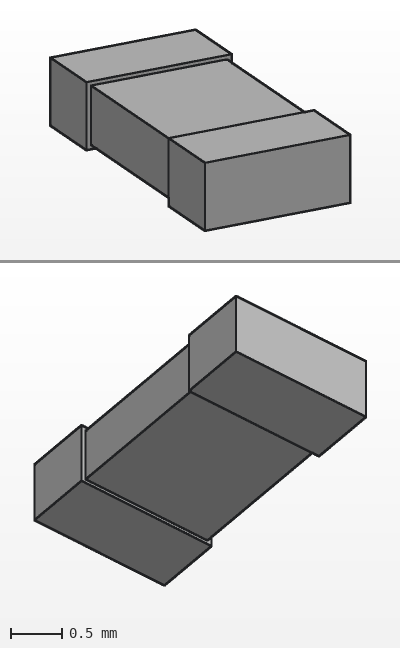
import cadquery as cq

length = 3.2
width = 1.6
height = 0.71

terminal_length = 0.75
side_inset = 0.05
top_bottom_inset = 0.045

body_length = length - 2 * terminal_length
body_width = width - 2 * side_inset
body_height = height - 2 * top_bottom_inset


def make_body():
    """Plain block that meets the inner face of each terminal."""
    return cq.Workplane("XY").box(body_length, body_width, body_height)


def make_terminal(side):
    """End block; side is -1 for the -X end and +1 for the +X end."""
    center_x = side * (length - terminal_length) / 2
    return cq.Workplane("XY").box(terminal_length, width, height).translate((center_x, 0, 0))


body = make_body()
terminals = [make_terminal(side) for side in (-1, 1)]

result = cq.Compound.makeCompound([body.val(), *[terminal.val() for terminal in terminals]])